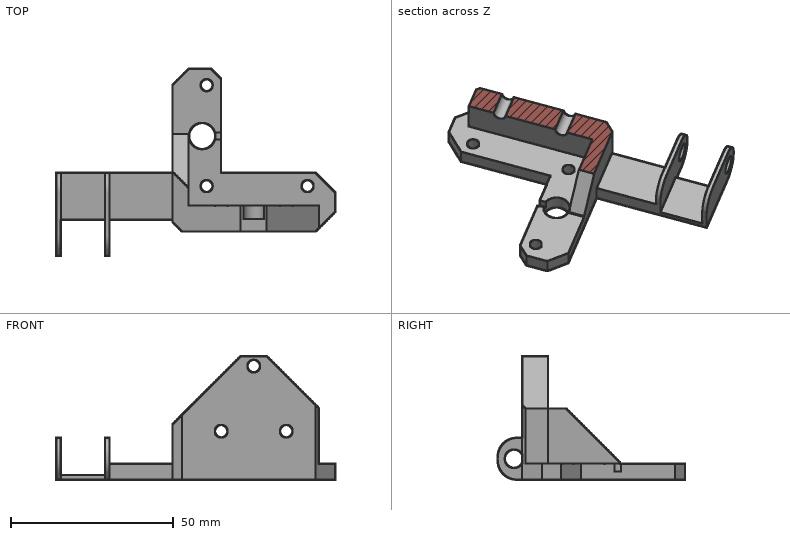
import cadquery as cq

length = 85.75
base_thickness = 5.0
joint_overlap = 0.4

body_left = 35.7
body_back = 50.0
post_right = 50.7
foot_back = 18.1
end_chamfer = 6.1
front_left_chamfer = 3.0
post_left_chamfer = 5.1
post_right_chamfer = 3.1

upright_thickness = 8.0
upright_height = 38.0
upright_right = 80.7
left_shoulder = 17.0
right_shoulder = 21.95

rib_thickness = 5.0
rib_back = 30.0
rib_step = 0.4
rib_top = left_shoulder + rib_thickness

arm_front = 3.6
ear_thickness = 1.5
ear_pitch = 15.0
ear_front = -7.55
ear_height = 12.95
ear_radius = 6.0
ear_hole_diameter = 5.6
ear_hole_y = -2.5
bridge_thickness = 1.55

mount_hole_diameter = 3.6
mount_pitch = 30.95
mount_x = 46.2
mount_y = 14.0
rod_hole_diameter = 8.0
rod_x = 44.85
rod_y = 29.3
rod_groove_width = 2.1
rod_groove_depth = 2.5
plate_hole_diameter = 3.8
plate_hole_pitch = 20.0
plate_hole_rise = 20.0
plate_hole_z = 14.9
head_slot_width = 6.2
head_slot_depth = 4.0


def block(x0, x1, y0, y1, z0, z1):
    """Box between two opposite corners."""
    return cq.Workplane("XY").box(x1 - x0, y1 - y0, z1 - z0, centered=False).translate((x0, y0, z0))


def front_profile(points):
    """Closed XZ outline extruded from the front face to the back of the upright."""
    return cq.Workplane("XZ").polyline(points).close().extrude(-upright_thickness)


def plan_prism(height):
    """L-shaped plan with chamfered outer corners."""
    return (
        cq.Workplane("XY")
        .moveTo(body_left + front_left_chamfer, 0)
        .lineTo(length - end_chamfer, 0)
        .lineTo(length, end_chamfer)
        .lineTo(length, foot_back - end_chamfer)
        .lineTo(length - end_chamfer, foot_back)
        .lineTo(post_right, foot_back)
        .lineTo(post_right, body_back - post_right_chamfer)
        .lineTo(post_right - post_right_chamfer, body_back)
        .lineTo(body_left + post_left_chamfer, body_back)
        .lineTo(body_left, body_back - post_left_chamfer)
        .lineTo(body_left, front_left_chamfer)
        .close()
        .extrude(height)
    )


peak_left = body_left + upright_height - left_shoulder
peak_right = upright_right - (upright_height - right_shoulder)
upright = front_profile([
    (body_left, 0),
    (upright_right, 0),
    (upright_right, right_shoulder),
    (peak_right, upright_height),
    (peak_left, upright_height),
    (body_left, left_shoulder),
])

rib_foot = base_thickness + rib_step
rib_side = (
    cq.Workplane("YZ", origin=(body_left, 0, 0))
    .polyline([
        (0, 0),
        (rib_back, 0),
        (rib_back, rib_foot),
        (rib_back - (rib_top - rib_foot), rib_top),
        (0, rib_top),
    ])
    .close()
    .extrude(rib_thickness)
)
rib_bevel = (
    cq.Workplane("XZ")
    .polyline([
        (body_left, 0),
        (body_left + rib_thickness, 0),
        (body_left + rib_thickness, rib_top),
        (body_left, left_shoulder),
    ])
    .close()
    .extrude(-rib_back)
)
rib = rib_side.intersect(rib_bevel)

body = plan_prism(base_thickness).union(upright.union(rib).intersect(plan_prism(upright_height)))


def ear(x):
    """Rounded hinge ear with a pin hole."""
    plate = block(x, x + ear_thickness, ear_front, foot_back, 0, ear_height)
    plate = plate.edges("|X and (<Y or >Z)").fillet(ear_radius)
    pin_hole = (
        cq.Workplane("YZ", origin=(x, 0, 0))
        .center(ear_hole_y, ear_height / 2)
        .circle(ear_hole_diameter / 2)
        .extrude(ear_thickness)
    )
    return plate.cut(pin_hole)


body = body.union(block(ear_pitch, body_left + joint_overlap, arm_front, foot_back, 0, base_thickness))
body = body.union(block(0, ear_pitch + joint_overlap, arm_front, foot_back, 0, bridge_thickness))
for ear_x in (0, ear_pitch):
    body = body.union(ear(ear_x))

mount_points = [
    (mount_x, mount_y),
    (mount_x + mount_pitch, mount_y),
    (mount_x, mount_y + mount_pitch),
]
body = body.cut(
    cq.Workplane("XY").pushPoints(mount_points).circle(mount_hole_diameter / 2).extrude(base_thickness)
)

body = body.cut(
    cq.Workplane("XY").center(rod_x, rod_y).circle(rod_hole_diameter / 2).extrude(upright_height)
)
body = body.cut(block(
    rod_x, post_right,
    rod_y - rod_groove_width / 2, rod_y + rod_groove_width / 2,
    base_thickness - rod_groove_depth, base_thickness,
))

top_hole_x = (peak_left + peak_right) / 2
top_hole_z = plate_hole_z + plate_hole_rise
plate_points = [
    (top_hole_x - plate_hole_pitch / 2, plate_hole_z),
    (top_hole_x + plate_hole_pitch / 2, plate_hole_z),
    (top_hole_x, top_hole_z),
]
body = body.cut(
    cq.Workplane("XZ").pushPoints(plate_points).circle(plate_hole_diameter / 2).extrude(-upright_thickness)
)

slot_front = upright_thickness - head_slot_depth
slot_radius = head_slot_width / 2
head_slot = (
    cq.Workplane("XZ", origin=(0, slot_front, 0))
    .moveTo(top_hole_x - slot_radius, upright_height)
    .lineTo(top_hole_x - slot_radius, top_hole_z)
    .threePointArc((top_hole_x, top_hole_z - slot_radius), (top_hole_x + slot_radius, top_hole_z))
    .lineTo(top_hole_x + slot_radius, upright_height)
    .close()
    .extrude(-head_slot_depth)
)

result = body.cut(head_slot)